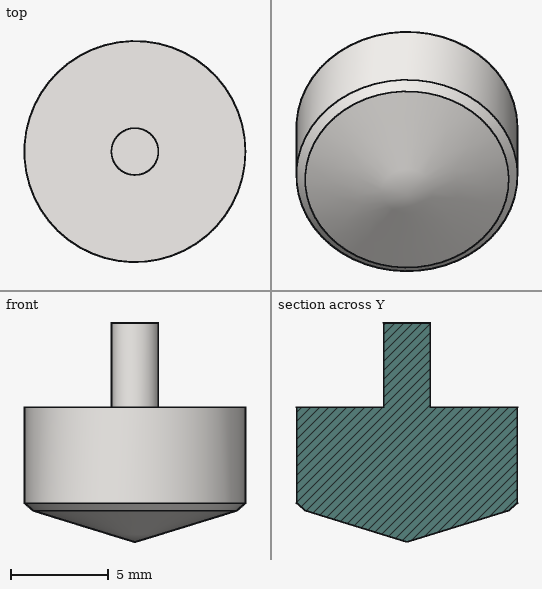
import cadquery as cq

body_diameter = 11.3
pin_diameter = 2.4
total_height = 11.2
pin_length = 4.3
chamfer_height = 0.4
chamfer_width = 0.45
cone_height = 1.6

body_radius = body_diameter / 2
pin_radius = pin_diameter / 2
cone_radius = body_radius - chamfer_width
body_bottom = cone_height + chamfer_height
body_top = total_height - pin_length

half_profile = (
    cq.Workplane("XZ")
    .moveTo(0, 0)
    .lineTo(cone_radius, cone_height)
    .lineTo(body_radius, body_bottom)
    .lineTo(body_radius, body_top)
    .lineTo(pin_radius, body_top)
    .lineTo(pin_radius, total_height)
    .lineTo(0, total_height)
    .close()
)

result = half_profile.revolve(360, (0, 0, 0), (0, 1, 0))